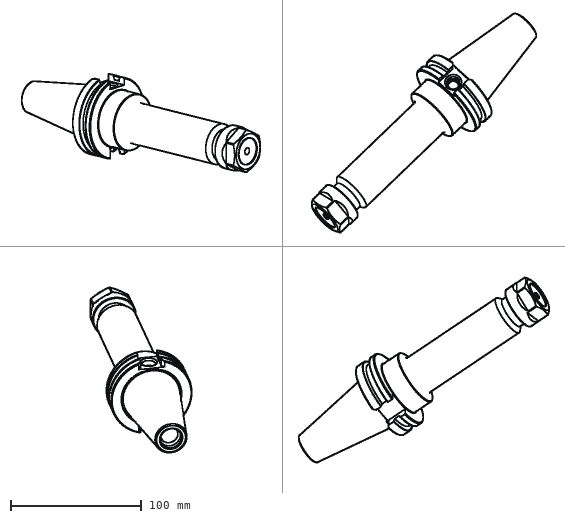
import cadquery as cq
import math


taper_end = 68.0
taper_large_dia = 44.4
taper_tip_dia = 25.0
tip_chamfer_length = 0.77
tip_chamfer_height = 1.0

flange_start = 69.3
flange_end = 87.4
flange_dia = 63.3
flange_chamfer = 0.7
relief_dia = 47.2
relief_depth = 1.0

groove_x = 79.5
groove_mouth_width = 6.5
groove_floor_width = 4.2
groove_floor_dia = 56.5
groove_straight_depth = 0.7

slot_width = 16.0
upper_slot_floor = 25.0
lower_slot_floor = 22.3
slot_chamfer = 2.2

pocket_mouth_dia = 12.8
pocket_dia = 10.2
pocket_depth = 5.5
pocket_drill_dia = 8.0
pocket_drill_depth = 7.7
drill_point_angle = 118.0

collar_dia = taper_large_dia
collar_end = 103.3
collar_edge = 0.5
arbor_dia = 31.8
arbor_fillet = 3.3
arbor_end = 191.5
nose_dia = 25.0
nose_end = 214.0

bore_mouth_dia = 18.0
bore_mouth_chamfer = 0.7
pilot_dia = 16.5
pilot_depth = 4.2
pilot_cone_length = 2.2
bore_dia = 13.5

collet_tail_dia = 12.8
collet_tail_face_dia = 10.2
collet_head_dia = 21.0
collet_cone_end = nose_end
collet_end = 219.8
collet_bore_dia = 5.3
collet_bore_mouth_dia = 7.0
collet_recess_dia = 8.8
collet_recess_depth = 1.0
collet_half_angle = 8.0
collet_cone_start = collet_cone_end - (
    (collet_head_dia - collet_tail_dia) / 2 / math.tan(math.radians(collet_half_angle))
)
collet_start = collet_cone_start - (collet_tail_dia - collet_tail_face_dia) / 2

nut_start = 201.5
nut_end = 220.7
nut_dia = 34.0
nut_face_dia = 27.8
nut_face_chamfer = 1.8
nut_back_chamfer = 0.55
nut_across_flats = 29.8
long_flat_start = 210.0
short_flat_start = 211.5
long_flat_angles = (-60, 0, 60)
short_flat_angles = (120, 180, 240)

clearance = 2.2


def revolve(profile):
    """Close a profile drawn in XY (x along the axis, y as radius) and revolve it about X."""
    return profile.close().revolve(360, (0, 0, 0), (1, 0, 0))


def turned(*stations):
    """Solid turned about X through the given (x, diameter) stations."""
    radii = [(x, dia / 2) for x, dia in stations]
    points = [(stations[0][0], 0), *radii, (stations[-1][0], 0)]
    return revolve(cq.Workplane("XY").polyline(points))


def make_gripper_groove():
    rim = flange_dia / 2
    wall_end = rim - groove_straight_depth
    left_mouth = groove_x - groove_mouth_width / 2
    right_mouth = groove_x + groove_mouth_width / 2
    left_floor = groove_x - groove_floor_width / 2
    right_floor = groove_x + groove_floor_width / 2
    profile = cq.Workplane("XY").polyline([
        (left_mouth, rim + clearance),
        (left_mouth, wall_end),
        (left_floor, groove_floor_dia / 2),
        (right_floor, groove_floor_dia / 2),
        (right_mouth, wall_end),
        (right_mouth, rim + clearance),
    ])
    return revolve(profile)


def make_slot(bottom, top):
    """Drive slot cutter between two heights, widened by chamfers at the taper side."""
    wall = slot_width / 2
    chamfer_end = flange_start + slot_chamfer
    outline = [
        (flange_start, wall + slot_chamfer),
        (chamfer_end, wall),
        (flange_end, wall),
        (flange_end, -wall),
        (chamfer_end, -wall),
        (flange_start, -wall - slot_chamfer),
    ]
    return cq.Workplane("XY", origin=(0, 0, bottom)).polyline(outline).close().extrude(top - bottom)


def make_flange():
    flange = turned((flange_start, flange_dia), (flange_end, flange_dia)).edges().chamfer(flange_chamfer)
    relief_end = flange_start + relief_depth
    relief = turned((flange_start, relief_dia), (relief_end, relief_dia))
    slot_top = flange_dia / 2 + clearance
    return (
        flange.cut(relief)
        .cut(make_gripper_groove())
        .cut(make_slot(upper_slot_floor, slot_top))
        .cut(make_slot(-slot_top, -lower_slot_floor))
    )


def make_slot_pocket():
    """Stepped hole with a chamfered mouth and a drill point, sunk into the upper slot floor."""
    chamfer_height = (pocket_mouth_dia - pocket_dia) / 2
    drill_radius = pocket_drill_dia / 2
    point_height = drill_radius / math.tan(math.radians(drill_point_angle / 2))
    profile = cq.Workplane("XZ").polyline([
        (0, 0),
        (pocket_mouth_dia / 2, 0),
        (pocket_dia / 2, -chamfer_height),
        (pocket_dia / 2, -pocket_depth),
        (drill_radius, -pocket_depth),
        (drill_radius, -pocket_drill_depth),
        (0, -pocket_drill_depth - point_height),
    ])
    pocket = profile.close().revolve(360, (0, 0, 0), (0, 1, 0))
    return pocket.translate((groove_x, 0, upper_slot_floor))


def make_shaft():
    """Taper, collar, arbor and nose as one turned solid."""
    arbor_radius = arbor_dia / 2
    nose_step = (arbor_dia - nose_dia) / 2
    tip_face_radius = taper_tip_dia / 2 - tip_chamfer_height
    collar_radius = collar_dia / 2
    profile = (
        cq.Workplane("XY")
        .moveTo(0, 0)
        .lineTo(0, tip_face_radius)
        .lineTo(tip_chamfer_length, taper_tip_dia / 2)
        .lineTo(taper_end, taper_large_dia / 2)
        .lineTo(flange_end, collar_radius)
        .lineTo(flange_end, collar_radius + collar_edge)
        .lineTo(flange_end + collar_edge, collar_radius)
        .lineTo(collar_end - collar_edge, collar_radius)
        .lineTo(collar_end, collar_radius - collar_edge)
        .lineTo(collar_end, arbor_radius + arbor_fillet)
        .radiusArc((collar_end + arbor_fillet, arbor_radius), -arbor_fillet)
        .lineTo(arbor_end, arbor_radius)
        .lineTo(arbor_end + nose_step, nose_dia / 2)
        .lineTo(nose_end, nose_dia / 2)
        .lineTo(nose_end, 0)
    )
    return revolve(profile)


def make_bore():
    pilot_cone_end = pilot_depth + pilot_cone_length
    return turned(
        (0, bore_mouth_dia),
        (bore_mouth_chamfer, pilot_dia),
        (pilot_depth, pilot_dia),
        (pilot_cone_end, bore_dia),
        (nose_end, bore_dia),
    )


def make_collet_blank():
    """Outer shape of the collet, which is also the shape of its seat."""
    return turned(
        (collet_start, collet_tail_face_dia),
        (collet_cone_start, collet_tail_dia),
        (collet_cone_end, collet_head_dia),
        (collet_end, collet_head_dia),
    )


def make_holder():
    holder = make_shaft().union(make_flange())
    return holder.cut(make_slot_pocket()).cut(make_bore()).cut(make_collet_blank())


def make_collet_bore():
    """Through hole with a shallow recess in the tail face and a chamfered mouth below it."""
    mouth_start = collet_start + collet_recess_depth
    mouth_end = mouth_start + (collet_bore_mouth_dia - collet_bore_dia) / 2
    return turned(
        (collet_start, collet_recess_dia),
        (mouth_start, collet_recess_dia),
        (mouth_start, collet_bore_mouth_dia),
        (mouth_end, collet_bore_dia),
        (collet_end, collet_bore_dia),
    )


def make_collet():
    return make_collet_blank().cut(make_collet_bore())


def make_flat_cutter(start, angle):
    """Cutter for one wrench flat, with a 45 degree run-out at its back end."""
    apothem = nut_across_flats / 2
    height = nut_dia / 2 - apothem + clearance
    outline = [
        (start, apothem),
        (nut_end + clearance, apothem),
        (nut_end + clearance, apothem + height),
        (start - height, apothem + height),
    ]
    cutter = cq.Workplane("XY").polyline(outline).close().extrude(nut_dia / 2, both=True)
    return cutter.rotate((0, 0, 0), (1, 0, 0), angle)


def make_nut():
    nut = turned(
        (nut_start, nut_dia - 2 * nut_back_chamfer),
        (nut_start + nut_back_chamfer, nut_dia),
        (nut_end - nut_face_chamfer, nut_dia),
        (nut_end, nut_face_dia),
    )
    for angle in long_flat_angles:
        nut = nut.cut(make_flat_cutter(long_flat_start, angle))
    for angle in short_flat_angles:
        nut = nut.cut(make_flat_cutter(short_flat_start, angle))
    nose_socket = turned((nut_start, nose_dia), (nose_end, nose_dia))
    collet_opening = turned((nose_end, collet_head_dia), (nut_end, collet_head_dia))
    return nut.cut(nose_socket).cut(collet_opening)


holder = make_holder()
collet = make_collet()
nut = make_nut()

result = cq.Compound.makeCompound([holder.val(), collet.val(), nut.val()])